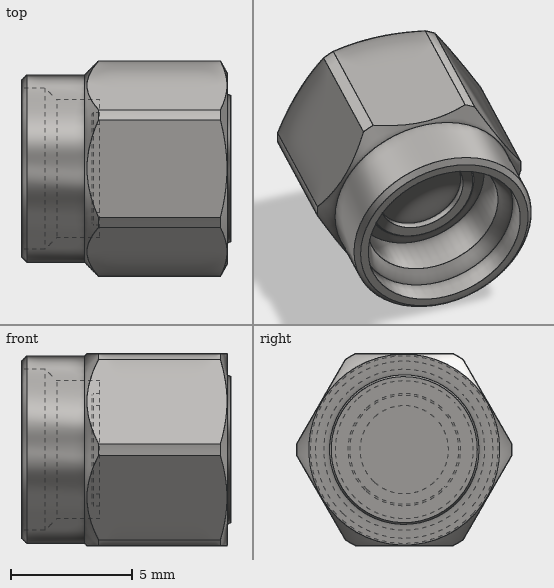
import cadquery as cq
import math

overall_length = 8.63
collar_length = 2.6
hex_end = 8.49

across_flats = 7.94
across_corners = 8.9
collar_diameter = 7.75
collar_chamfer = 0.21
rear_chamfer_length = 0.285
rear_chamfer_height = 0.51
rear_boss_base_diameter = 6.18
rear_boss_face_diameter = 6.03

mouth_diameter = 6.65
mouth_depth = 0.97
bore_diameter = 5.7
bore_depth = 3.2

ring_outer_diameter = 4.65
ring_inner_diameter = 3.65
ring_height = 0.3
ring_chamfer = 0.07

corner_radius = across_corners / 2
collar_radius = collar_diameter / 2
shoulder_end = collar_length + corner_radius - collar_radius
bore_cone_end = mouth_depth + (mouth_diameter - bore_diameter) / 2


def revolve_about_x(points):
    """Revolve a closed outline of (x, radius) points about the X axis."""
    return cq.Workplane("XY").polyline(points).close().revolve(360, (0, 0, 0), (1, 0, 0))


def make_outside():
    """Turned body with its hex flats, corners along +Y and -Y."""
    turned = revolve_about_x([
        (0, 0),
        (0, collar_radius - collar_chamfer),
        (collar_chamfer, collar_radius),
        (collar_length, collar_radius),
        (shoulder_end, corner_radius),
        (hex_end - rear_chamfer_length, corner_radius),
        (hex_end, corner_radius - rear_chamfer_height),
        (hex_end, rear_boss_base_diameter / 2),
        (overall_length, rear_boss_face_diameter / 2),
        (overall_length, 0),
    ])
    sharp_corner_diameter = across_flats / math.cos(math.pi / 6)
    hexagon = cq.Workplane("YZ").polygon(6, sharp_corner_diameter).extrude(overall_length)
    return turned.intersect(hexagon)


def make_bore():
    """Wide mouth that cones down to a flat-bottomed bore."""
    return revolve_about_x([
        (0, 0),
        (0, mouth_diameter / 2),
        (mouth_depth, mouth_diameter / 2),
        (bore_cone_end, bore_diameter / 2),
        (bore_depth, bore_diameter / 2),
        (bore_depth, 0),
    ])


def make_ring():
    """Raised ring on the bore floor, chamfered on its outer front edge."""
    ring_front = bore_depth - ring_height
    return revolve_about_x([
        (bore_depth, ring_inner_diameter / 2),
        (ring_front, ring_inner_diameter / 2),
        (ring_front, ring_outer_diameter / 2 - ring_chamfer),
        (ring_front + ring_chamfer, ring_outer_diameter / 2),
        (bore_depth, ring_outer_diameter / 2),
    ])


result = make_outside().cut(make_bore()).union(make_ring())